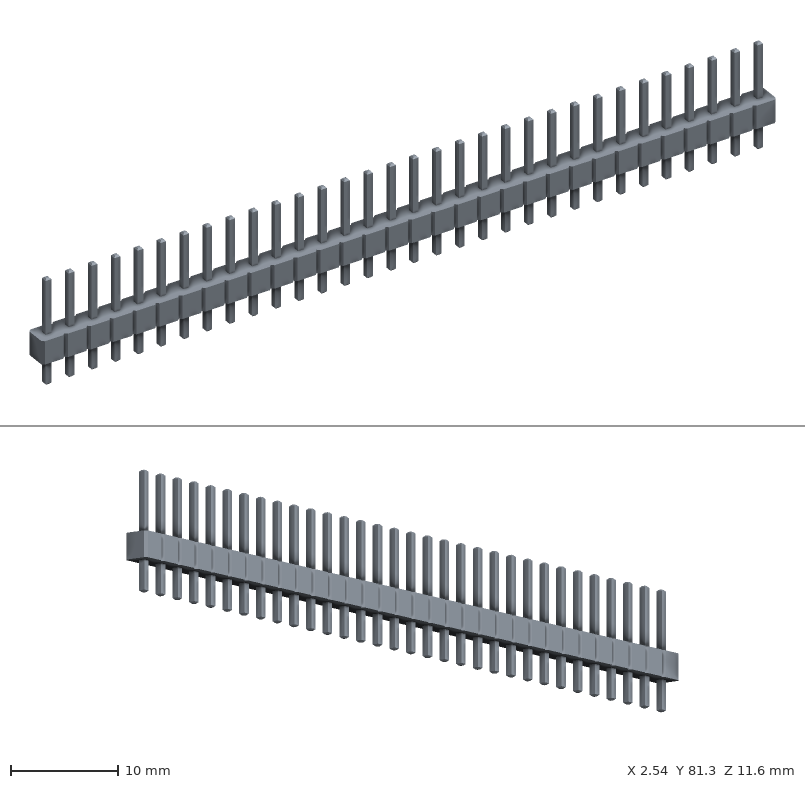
import cadquery as cq

pin_count = 32
strip_length = 81.3
pitch = strip_length / pin_count

corner_chamfer = 0.25

pin_length = 11.55
pin_width = 0.64
pin_length_below = 3.0
tip_chamfer = 0.2


def make_housing_cell():
    """Cube standing on Z = 0, with its four upright edges chamfered."""
    cube = cq.Workplane("XY").box(pitch, pitch, pitch, centered=(True, True, False))
    return cube.edges("|Z").chamfer(corner_chamfer)


def make_pin():
    """Square pin through the cell, with all four sides bevelled at both tips."""
    pin = cq.Workplane("XY").workplane(offset=-pin_length_below)
    pin = pin.rect(pin_width, pin_width).extrude(pin_length)
    return pin.faces("<Z or >Z").edges().chamfer(tip_chamfer)


cell = make_housing_cell().union(make_pin())
first_cell_y = (pitch - strip_length) / 2

result = cell.translate((0, first_cell_y, 0))
for index in range(1, pin_count):
    result = result.union(cell.translate((0, first_cell_y + index * pitch, 0)))